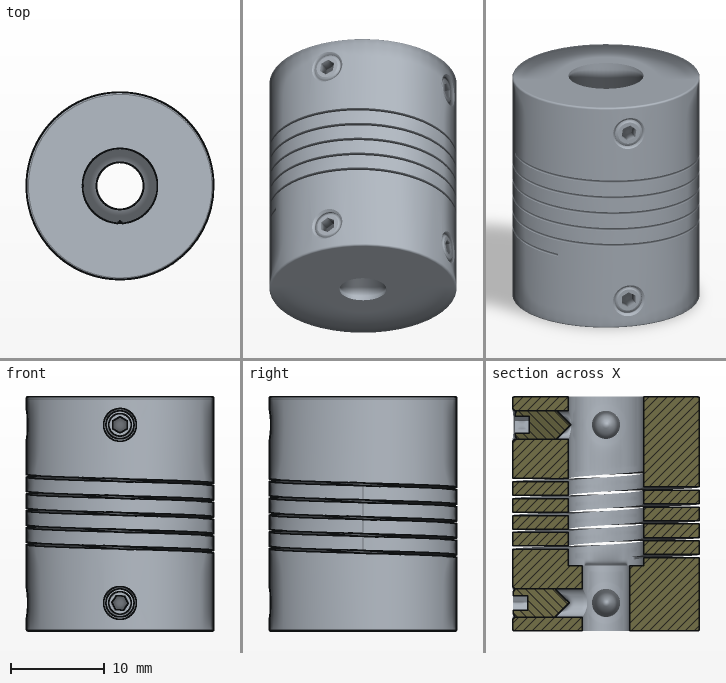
import cadquery as cq
import math

BODY_RADIUS = 10.0
BODY_LENGTH = 25.0
EDGE_FILLET = 0.2
UPPER_BORE_RADIUS = 4.0
LOWER_BORE_RADIUS = 2.5
UPPER_BORE_FLOOR_Z = 7.0

SLIT_PITCH = 1.8
SLIT_WIDTH = 0.3
SLIT_TOP_ANGLE = 90.0
SLIT_BOTTOM_ANGLE = 135.0
SLIT_FULL_TURNS = 5
SLIT_TURNS = SLIT_FULL_TURNS + (SLIT_BOTTOM_ANGLE - SLIT_TOP_ANGLE) / 360
SLIT_HEIGHT = SLIT_TURNS * SLIT_PITCH
SLIT_TOP = 17.0
SLIT_BOTTOM = SLIT_TOP - SLIT_HEIGHT

RADIAL_OVERCUT = 0.5

SCREW_RADIUS = 1.5
SCREW_LENGTH = 6.0
SCREW_CHAMFER_WIDTH = 0.3
SCREW_CHAMFER_DEPTH = 0.17
POINT_HEIGHT = SCREW_RADIUS
SOCKET_ACROSS_FLATS = 1.5
SOCKET_DEPTH = 1.5
HOLE_CHAMFER = 0.25
SCREW_END_DISTANCE = 3.0
LOWER_SCREW_Z = SCREW_END_DISTANCE
UPPER_SCREW_Z = BODY_LENGTH - SCREW_END_DISTANCE
SHALLOW_FACE_RADIUS = BODY_RADIUS - 0.1
DEEP_FACE_RADIUS = BODY_RADIUS - 0.27

FRONT = -90.0
LEFT = 180.0
SCREWS = [
    (FRONT, UPPER_SCREW_Z, DEEP_FACE_RADIUS, 0.0),
    (LEFT, UPPER_SCREW_Z, SHALLOW_FACE_RADIUS, -9.0),
    (FRONT, LOWER_SCREW_Z, SHALLOW_FACE_RADIUS, 26.0),
    (LEFT, LOWER_SCREW_Z, DEEP_FACE_RADIUS, 0.0),
]


def radial_plane(angle, height, radius):
    """Plane at a given radius whose normal points away from the axis and whose y points up."""
    direction = cq.Vector(math.cos(math.radians(angle)), math.sin(math.radians(angle)), 0)
    origin = direction * radius + cq.Vector(0, 0, height)
    horizontal = cq.Vector(0, 0, 1).cross(direction)
    return cq.Plane(origin=origin, xDir=horizontal, normal=direction)


def make_slit():
    """Rectangular radial section swept along a left-handed helix, open to the upper bore."""
    helix = cq.Wire.makeHelix(SLIT_PITCH, SLIT_HEIGHT, BODY_RADIUS, lefthand=True)
    inner_radius = UPPER_BORE_RADIUS - RADIAL_OVERCUT
    outer_radius = BODY_RADIUS + RADIAL_OVERCUT
    section = (
        cq.Workplane("XZ")
        .center((inner_radius + outer_radius) / 2, 0)
        .rect(outer_radius - inner_radius, SLIT_WIDTH)
    )
    slit = section.sweep(cq.Workplane(obj=helix), isFrenet=True)
    return slit.rotate((0, 0, 0), (0, 0, 1), SLIT_BOTTOM_ANGLE).translate((0, 0, SLIT_BOTTOM))


def cut_screw_hole(body, angle, height):
    """Radial hole from the axis out through one side of the body, chamfered at the outer surface."""
    hole_length = BODY_RADIUS + RADIAL_OVERCUT
    hole = cq.Workplane(radial_plane(angle, height, 0)).circle(SCREW_RADIUS).extrude(hole_length)
    body = body.cut(hole)
    mouth_plane = radial_plane(angle, height, BODY_RADIUS)
    mouth_box = cq.selectors.BoxSelector(
        mouth_plane.toWorldCoords((-SCREW_RADIUS, -SCREW_RADIUS, -SCREW_RADIUS)),
        mouth_plane.toWorldCoords((SCREW_RADIUS, SCREW_RADIUS, SCREW_RADIUS)),
    )
    return body.edges(mouth_box).edges("not %LINE").chamfer(HOLE_CHAMFER)


def make_body():
    """Rounded cylinder with a stepped bore, four screw holes and the helical slit."""
    body = cq.Workplane("XY").circle(BODY_RADIUS).extrude(BODY_LENGTH)
    body = body.edges("%CIRCLE").fillet(EDGE_FILLET)
    body = body.faces(">Z").workplane().circle(LOWER_BORE_RADIUS).cutThruAll()
    body = body.faces(">Z").workplane().circle(UPPER_BORE_RADIUS).cutBlind(UPPER_BORE_FLOOR_Z - BODY_LENGTH)
    for angle, height, _, _ in SCREWS:
        body = cut_screw_hole(body, angle, height)
    return body.cut(make_slit()).solids()


def make_screw(angle, height, face_radius, socket_turn):
    """Set screw with a hexagon socket, a chamfered outer end and a 90 degree cone point."""
    screw = (
        cq.Workplane("XZ")
        .polyline([
            (0, 0),
            (SCREW_RADIUS - SCREW_CHAMFER_WIDTH, 0),
            (SCREW_RADIUS, -SCREW_CHAMFER_DEPTH),
            (SCREW_RADIUS, POINT_HEIGHT - SCREW_LENGTH),
            (0, -SCREW_LENGTH),
        ])
        .close()
        .revolve(360, (0, 0, 0), (0, 1, 0))
    )
    corner_diameter = SOCKET_ACROSS_FLATS / math.cos(math.radians(30))
    socket = (
        cq.Workplane("XY")
        .polygon(6, corner_diameter)
        .extrude(-SOCKET_DEPTH)
        .rotate((0, 0, 0), (0, 0, 1), 90 + socket_turn)
    )
    screw = screw.cut(socket)
    return screw.val().moved(cq.Location(radial_plane(angle, height, face_radius)))


body = make_body()
screws = [make_screw(*placement) for placement in SCREWS]
result = cq.Compound.makeCompound([body.val(), *screws])